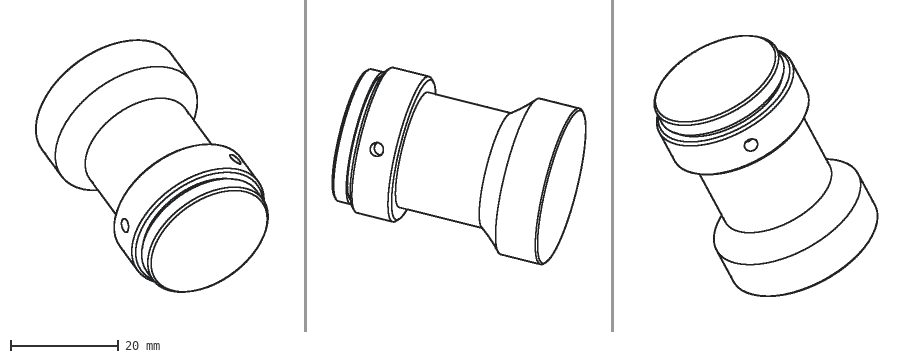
import cadquery as cq
import math

length = 41.0
head_end = 8.1
flare_end = 12.6
collar_start = 29.0
collar_end = 37.1
groove_end = 38.1

head_radius = 15.0
neck_radius = 11.05
collar_radius = 14.0
groove_radius = 11.97
rim_radius = 12.7

head_chamfer = 0.33
collar_chamfer = 0.55
rim_chamfer = 0.45
flare_sagitta = 0.15

hole_radius = 1.27
hole_depth = 3.7
drill_point_angle = 118.0
hole_count = 3
first_hole_angle = 45.5
hole_x = (collar_start + collar_end) / 2


def flare_midpoint():
    """Middle of the hollow arc between the head and the neck."""
    run = flare_end - head_end
    drop = head_radius - neck_radius
    chord = math.hypot(run, drop)
    return (
        (head_end + flare_end) / 2 - flare_sagitta * drop / chord,
        (head_radius + neck_radius) / 2 - flare_sagitta * run / chord,
    )


def turned_body():
    return (
        cq.Workplane("XY")
        .lineTo(0, head_radius - head_chamfer)
        .lineTo(head_chamfer, head_radius)
        .lineTo(head_end, head_radius)
        .threePointArc(flare_midpoint(), (flare_end, neck_radius))
        .lineTo(collar_start, neck_radius)
        .lineTo(collar_start, collar_radius - collar_chamfer)
        .lineTo(collar_start + collar_chamfer, collar_radius)
        .lineTo(collar_end - collar_chamfer, collar_radius)
        .lineTo(collar_end, collar_radius - collar_chamfer)
        .lineTo(collar_end, groove_radius)
        .lineTo(groove_end, groove_radius)
        .lineTo(groove_end, rim_radius)
        .lineTo(length - rim_chamfer, rim_radius)
        .lineTo(length, rim_radius - rim_chamfer)
        .lineTo(length, 0)
        .close()
        .revolve(360, (0, 0), (1, 0))
    )


def drill(angle):
    """Drill along the radius at the given angle, with its point toward the axis."""
    floor = collar_radius - hole_depth
    point_length = hole_radius / math.tan(math.radians(drill_point_angle / 2))
    return (
        cq.Workplane("XY")
        .moveTo(hole_x, floor - point_length)
        .lineTo(hole_x + hole_radius, floor)
        .lineTo(hole_x + hole_radius, head_radius)
        .lineTo(hole_x, head_radius)
        .close()
        .revolve(360, (hole_x, 0), (hole_x, 1))
        .rotate((0, 0, 0), (1, 0, 0), angle)
    )


result = turned_body()
for i in range(hole_count):
    result = result.cut(drill(first_hole_angle + i * 360 / hole_count))